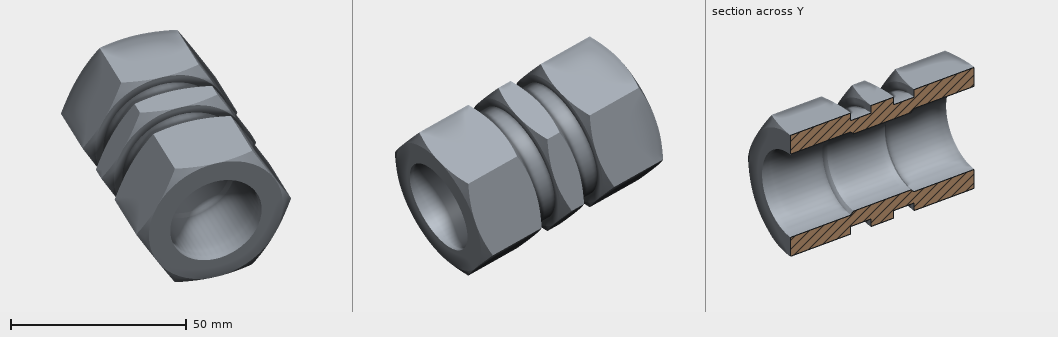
import cadquery as cq
import math

total_length = 64.0
across_flats = 41.0
nut_length = 21.0
collar_length = 8.0
neck_diameter = 36.0
bore_diameter = 26.0
socket_diameter = 28.0
socket_depth = nut_length
chamfer_angle = 30.0

across_corners = across_flats / math.cos(math.radians(30))
shoulder_length = (socket_diameter - bore_diameter) / 2


def cylinder(diameter, start, length):
    """Round bar along X, beginning at x = start."""
    return cq.Workplane("YZ", origin=(start, 0, 0)).circle(diameter / 2).extrude(length)


def chamfered_hexagon(start, length):
    """Hexagon along X, corners on Y, with its corners turned to a cone at both ends."""
    hexagon = cq.Workplane("YZ", origin=(start, 0, 0)).polygon(6, across_corners).extrude(length)
    face_radius = across_flats / 2
    corner_radius = across_corners / 2
    bevel = (corner_radius - face_radius) * math.tan(math.radians(chamfer_angle))
    end = start + length
    turned_envelope = (
        cq.Workplane("XY")
        .moveTo(start, 0)
        .lineTo(start, face_radius)
        .lineTo(start + bevel, corner_radius)
        .lineTo(end - bevel, corner_radius)
        .lineTo(end, face_radius)
        .lineTo(end, 0)
        .close()
        .revolve(360, (0, 0, 0), (1, 0, 0))
    )
    return hexagon.intersect(turned_envelope)


def tube_socket(end_x, inward):
    """Straight socket with a 45-degree shoulder; inward is the X direction into the part."""
    shoulder_start = end_x + inward * socket_depth
    shoulder_end = shoulder_start + inward * shoulder_length
    return (
        cq.Workplane("XY")
        .moveTo(end_x, 0)
        .lineTo(end_x, socket_diameter / 2)
        .lineTo(shoulder_start, socket_diameter / 2)
        .lineTo(shoulder_end, bore_diameter / 2)
        .lineTo(shoulder_end, 0)
        .close()
        .revolve(360, (0, 0, 0), (1, 0, 0))
    )


left_end = -total_length / 2
right_end = total_length / 2

body = cylinder(neck_diameter, left_end, total_length)
body = body.union(chamfered_hexagon(left_end, nut_length))
body = body.union(chamfered_hexagon(-collar_length / 2, collar_length))
body = body.union(chamfered_hexagon(right_end - nut_length, nut_length))

body = body.cut(cylinder(bore_diameter, left_end, total_length))
body = body.cut(tube_socket(left_end, 1))
body = body.cut(tube_socket(right_end, -1))

result = body